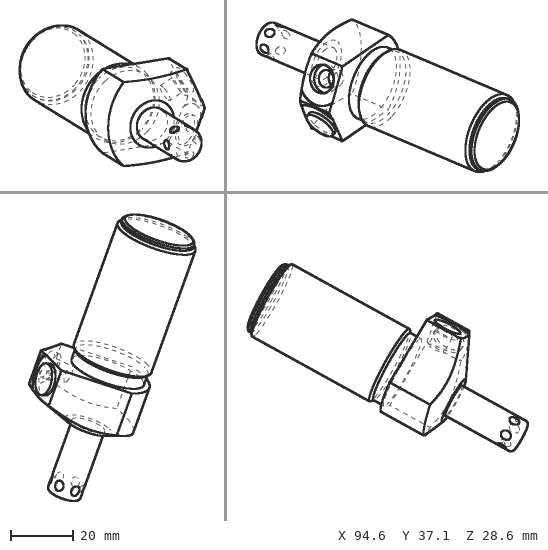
import cadquery as cq
import math

total_length = 94.6

barrel_radius = 13.3
neck_radius = 12.4
rear_face_radius = 11.6
rear_chamfer_length = 0.7
rear_land_end = 1.5
barrel_start = 2.5
barrel_end = 46.0
neck_start = barrel_end + barrel_radius - neck_radius

head_start = 50.8
head_end = 69.8
head_front_radius = 7.95
head_cone_tilt = math.radians(25.5)
flat_half_height = 14.3
wedge_tip_y = 22.7
wedge_corner_y = 16.0
belly_radius = 19.7
belly_bottom_y = -14.4

port_x = 57.1
port_z = 8.5
spotface_radius = 8.7
spotface_depth = 0.24
port_radius = 4.6
port_depth = 2.4
port_bore_radius = 2.8
port_bore_depth = 5.7
plug_radius = 5.2
plug_height = 1.2

rod_radius = 5.6
rod_end_round = 1.1
dimple_x = 90.8
dimple_radius = 1.7
dimple_count = 6


def make_barrel():
    profile = [
        (0, 0),
        (0, rear_face_radius),
        (rear_chamfer_length, neck_radius),
        (rear_land_end, neck_radius),
        (barrel_start, barrel_radius),
        (barrel_end, barrel_radius),
        (neck_start, neck_radius),
        (head_start, neck_radius),
        (head_start, 0),
    ]
    return cq.Workplane("XY").polyline(profile).close().revolve(360, (0, 0, 0), (1, 0, 0))


def make_head():
    belly_center_y = belly_bottom_y + belly_radius
    flat_end_y = belly_center_y - math.sqrt(belly_radius**2 - flat_half_height**2)
    block = (
        cq.Workplane("YZ", origin=(head_start, 0, 0))
        .moveTo(wedge_tip_y, 0)
        .lineTo(wedge_corner_y, flat_half_height)
        .lineTo(flat_end_y, flat_half_height)
        .threePointArc((belly_bottom_y, 0), (flat_end_y, -flat_half_height))
        .lineTo(wedge_corner_y, -flat_half_height)
        .close()
        .extrude(head_end - head_start)
    )
    envelope_radius = wedge_tip_y
    cone_length = (envelope_radius - head_front_radius) * math.tan(head_cone_tilt)
    envelope = (
        cq.Workplane("XY")
        .polyline([
            (head_start, 0),
            (head_start, envelope_radius),
            (head_end - cone_length, envelope_radius),
            (head_end, head_front_radius),
            (head_end, 0),
        ])
        .close()
        .revolve(360, (0, 0, 0), (1, 0, 0))
    )
    return block.intersect(envelope)


def wedge_plane(side):
    """Plane of the spotface on the +Z (side = 1) or -Z (side = -1) wedge face."""
    drop = wedge_tip_y - wedge_corner_y
    face_length = math.hypot(drop, flat_half_height)
    normal_y = flat_half_height / face_length
    normal_z = drop / face_length
    face_y = wedge_tip_y - port_z * drop / flat_half_height
    origin = (
        port_x,
        face_y - spotface_depth * normal_y,
        side * (port_z - spotface_depth * normal_z),
    )
    return cq.Plane(origin=origin, xDir=(1, 0, 0), normal=(0, normal_y, side * normal_z))


def cylinder_on(plane, radius, height):
    return cq.Workplane(plane).circle(radius).extrude(height)


def add_ports(head):
    open_side = wedge_plane(1)
    plugged_side = wedge_plane(-1)
    for plane in (open_side, plugged_side):
        head = head.cut(cylinder_on(plane, spotface_radius, 2 * plug_height))
    head = head.cut(cylinder_on(open_side, port_radius, -port_depth))
    head = head.cut(cylinder_on(open_side, port_bore_radius, -(port_depth + port_bore_depth)))
    return head.union(cylinder_on(plugged_side, plug_radius, plug_height))


def make_rod():
    rod = (
        cq.Workplane("YZ", origin=(head_end, 0, 0))
        .circle(rod_radius)
        .extrude(total_length - head_end)
        .faces(">X")
        .edges()
        .fillet(rod_end_round)
    )
    overshoot = 0.5
    cutter_length = dimple_radius + overshoot
    for index in range(dimple_count):
        angle = 2 * math.pi * index / dimple_count
        inward = cq.Vector(0, -math.cos(angle), -math.sin(angle))
        start = cq.Vector(dimple_x, 0, 0) - inward * (rod_radius + overshoot)
        cutter = cq.Solid.makeCone(cutter_length, 0, cutter_length, start, inward)
        rod = rod.cut(cq.Workplane(obj=cutter))
    return rod


result = make_barrel().union(add_ports(make_head())).union(make_rod())